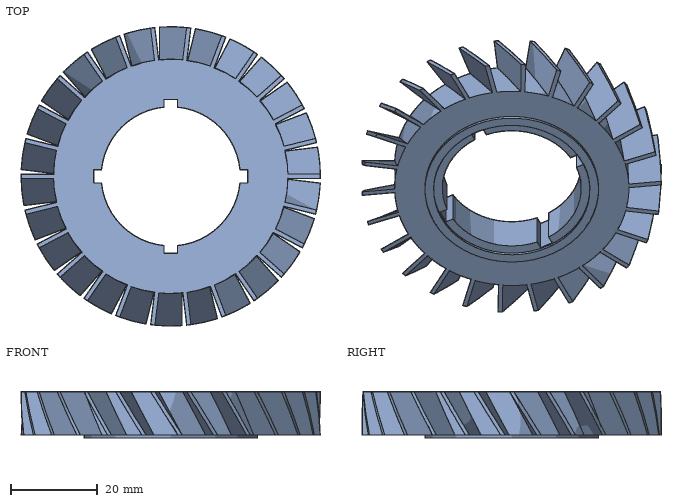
import cadquery as cq
import math

hub_radius = 27.0
hub_height = 10.0
bore_radius = 16.0

keyway_width = 3.0
keyway_span = 35.4

ring_outer_diameter = 40.0
ring_inner_diameter = 36.0
ring_height = 0.7

blade_count = 26
blade_thickness = 1.0
blade_root_radius = 19.0
tip_radius = 34.5
blade_tilt = 12.0
blade_pitch = 360.0 / blade_count
blade_twist = blade_pitch / 2
blade_foot_shift = hub_height * math.tan(math.radians(blade_tilt))
tip_trim_allowance = 1.0


def make_hub():
    """Flat disc with a round bore and four keyways."""
    disc = cq.Workplane("XY").circle(hub_radius).circle(bore_radius).extrude(hub_height)
    keyway = cq.Workplane("XY").rect(keyway_span, keyway_width).extrude(hub_height)
    crossed_keyway = keyway.rotate((0, 0, 0), (0, 0, 1), 90)
    return disc.cut(keyway).cut(crossed_keyway)


def make_ring():
    """Spacer ring standing down from the hub's underside."""
    ring = cq.Workplane("XY").circle(ring_outer_diameter / 2).circle(ring_inner_diameter / 2)
    return ring.extrude(-ring_height)


def blade_section(height, turn, side_shift):
    """Closed rectangle of the blade at one height, shifted sideways and turned about Z."""
    length = tip_radius + tip_trim_allowance - blade_root_radius
    middle = blade_root_radius + length / 2
    outline = cq.Workplane("XY", origin=(0, 0, height)).center(middle, side_shift)
    outline = outline.rect(length, blade_thickness)
    return outline.val().rotate(cq.Vector(0, 0, 0), cq.Vector(0, 0, 1), turn)


def make_blade():
    """Twisted blade: radial at the top, turned and shifted at the foot, tip trimmed round."""
    foot = blade_section(0, blade_twist, blade_foot_shift)
    top = blade_section(hub_height, 0, 0)
    blade = cq.Workplane(obj=cq.Solid.makeLoft([foot, top], True))
    envelope = cq.Workplane("XY").circle(tip_radius).extrude(hub_height)
    return blade.intersect(envelope)


part = make_hub().union(make_ring())
blade_form = make_blade()
for index in range(blade_count):
    placed_blade = blade_form.rotate((0, 0, 0), (0, 0, 1), index * blade_pitch)
    part = part.union(placed_blade, clean=False)

result = part